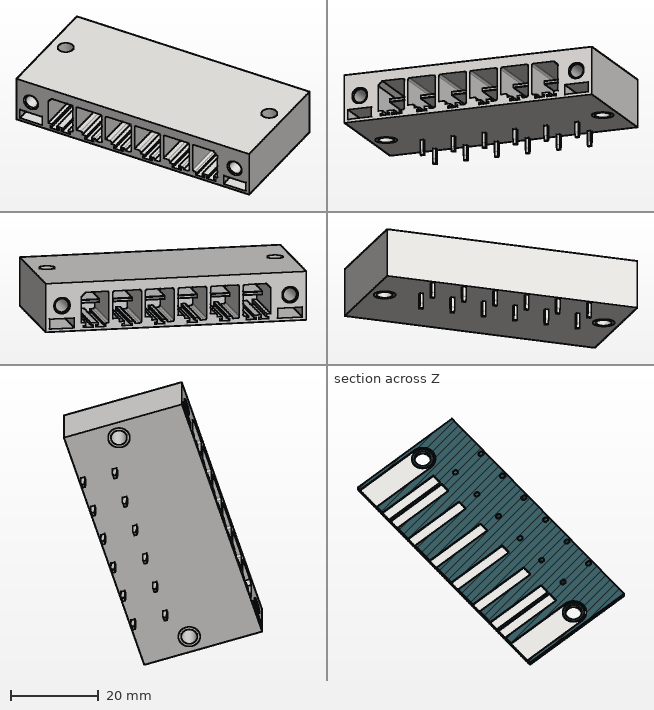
import cadquery as cq

HOUSING_WIDTH = 60.95
HOUSING_DEPTH = 28.3
HOUSING_HEIGHT = 11.4

PITCH = 7.6
CONTACT_COUNT = 6
FIRST_CONTACT_X = -PITCH * (CONTACT_COUNT - 1) / 2
CONTACT_XS = [FIRST_CONTACT_X + i * PITCH for i in range(CONTACT_COUNT)]
MOUNT_X = CONTACT_XS[-1] + PITCH
MOUNT_XS = [-MOUNT_X, MOUNT_X]
MOUNT_Y = 16.3

POCKET_DEPTH = 15.25
POCKET_HALF_WIDTH = 3.35
POCKET_TOP = 8.95
POCKET_TOP_RADIUS = 0.5
POCKET_STEP_RADIUS = 0.5
LEDGE_Z = 1.7

HIGH_STEP_X = -1.75
LOW_STEP_X = 1.9
HIGH_FLOOR_Z = 2.5
LOW_FLOOR_Z = 1.15

END_OUTER_X = -3.1
END_CORNER_CUT = 1.05
END_OUTER_FLOOR_Z = 1.9
END_INNER_FLOOR_Z = 1.5
END_KEYWAY_X = 1.45

KEYWAY_NECK_WIDTH = 1.3
KEYWAY_FOOT_WIDTH = 2.3
KEYWAY_BOTTOM = 0.75
KEYWAY_FOOT_HEIGHT = 0.4

BORE_Z = 6.1
BORE_DIAMETER = 3.2
BORE_COUNTERSINK = 0.3

SLOT_WIDTH = 5.8
SLOT_BOTTOM = KEYWAY_BOTTOM
SLOT_HEIGHT = 2.3

SCREW_HOLE_DIAMETER = 3.65
SLEEVE_DIAMETER = 5.0
SLEEVE_HEIGHT = 7.9

BLADE_WIDTH = 4.4
BLADE_THICKNESS = 0.8
BLADE_TOP = 6.1
BLADE_TIP_Y = 4.9
BLADE_TIP_CHAMFER = 0.1
LEG_WIDTH = 0.8
LEG_DEPTH = 1.0
LEG_LENGTH = 3.5
LEG_TAPER_LENGTH = 1.15
LEG_TAPER_INSET = 0.2
REAR_LEG_Y = HOUSING_DEPTH - 1.05
LEG_YS = [REAR_LEG_Y - PITCH, REAR_LEG_Y]


def box(x_min, x_max, y_min, y_max, z_min, z_max):
    """Box between the given limits."""
    size = (x_max - x_min, y_max - y_min, z_max - z_min)
    return cq.Workplane("XY").box(*size, centered=False).translate((x_min, y_min, z_min))


def prism_from_front(outline):
    """Outline of (x, z) points carried from the front face to the pocket depth."""
    return cq.Workplane("XZ").polyline(outline).close().extrude(-POCKET_DEPTH)


def round_corner(prism, corner, radius):
    """Round the lengthwise edge that starts at an (x, z) corner of the outline."""
    x, z = corner
    middle = (x, POCKET_DEPTH / 2, z)
    return prism.edges(cq.NearestToPointSelector(middle)).fillet(radius)


def keyway(center_x):
    """T-shaped groove: a neck down from the ledge and a wider foot."""
    neck = KEYWAY_NECK_WIDTH / 2
    foot = KEYWAY_FOOT_WIDTH / 2
    foot_top = KEYWAY_BOTTOM + KEYWAY_FOOT_HEIGHT
    neck_top = HIGH_FLOOR_Z
    neck_box = box(center_x - neck, center_x + neck, 0, POCKET_DEPTH, KEYWAY_BOTTOM, neck_top)
    foot_box = box(center_x - foot, center_x + foot, 0, POCKET_DEPTH, KEYWAY_BOTTOM, foot_top)
    return neck_box.union(foot_box)


def middle_pocket():
    """Pocket with a high floor on the left, a ledge in the middle and a low floor on the right."""
    top_left = (-POCKET_HALF_WIDTH, POCKET_TOP)
    top_right = (POCKET_HALF_WIDTH, POCKET_TOP)
    low_right = (POCKET_HALF_WIDTH, LOW_FLOOR_Z)
    low_step = (LOW_STEP_X, LEDGE_Z)
    high_step = (HIGH_STEP_X, HIGH_FLOOR_Z)
    pocket = prism_from_front([
        top_left,
        top_right,
        low_right,
        (LOW_STEP_X, LOW_FLOOR_Z),
        low_step,
        (HIGH_STEP_X, LEDGE_Z),
        high_step,
        (-POCKET_HALF_WIDTH, HIGH_FLOOR_Z),
    ])
    for corner in (top_left, top_right):
        pocket = round_corner(pocket, corner, POCKET_TOP_RADIUS)
    for corner in (low_right, low_step, high_step):
        pocket = round_corner(pocket, corner, POCKET_STEP_RADIUS)
    return pocket.union(keyway(0))


def left_end_pocket():
    """Pocket with a cut outer top corner and two keyways; the right end pocket is its mirror."""
    top_right = (POCKET_HALF_WIDTH, POCKET_TOP)
    low_right = (POCKET_HALF_WIDTH, END_INNER_FLOOR_Z)
    pocket = prism_from_front([
        (END_OUTER_X + END_CORNER_CUT, POCKET_TOP),
        top_right,
        low_right,
        (END_KEYWAY_X, END_INNER_FLOOR_Z),
        (END_KEYWAY_X, LEDGE_Z),
        (-END_KEYWAY_X, LEDGE_Z),
        (-END_KEYWAY_X, END_OUTER_FLOOR_Z),
        (END_OUTER_X, END_OUTER_FLOOR_Z),
        (END_OUTER_X, POCKET_TOP - END_CORNER_CUT),
    ])
    pocket = round_corner(pocket, top_right, POCKET_TOP_RADIUS)
    pocket = round_corner(pocket, low_right, POCKET_STEP_RADIUS)
    return pocket.union(keyway(-END_KEYWAY_X)).union(keyway(END_KEYWAY_X))


def pockets():
    """The six pockets at their contact positions."""
    left_end = left_end_pocket()
    shapes = [left_end, *[middle_pocket()] * (CONTACT_COUNT - 2), left_end.mirror("YZ")]
    return [shape.translate((x, 0, 0)) for shape, x in zip(shapes, CONTACT_XS)]


def front_bore(x):
    """Countersunk bore from the front face to the mounting sleeve."""
    mouth = cq.Workplane("XZ").center(x, BORE_Z)
    bore = mouth.circle(BORE_DIAMETER / 2).extrude(-MOUNT_Y)
    cone = cq.Solid.makeCone(
        BORE_DIAMETER / 2 + BORE_COUNTERSINK,
        BORE_DIAMETER / 2,
        BORE_COUNTERSINK,
        pnt=cq.Vector(x, 0, BORE_Z),
        dir=cq.Vector(0, 1, 0),
    )
    return bore.union(cq.Workplane(cone))


def latch_slot(x):
    """Flat slot with a round inner end centred on the mounting axis."""
    half = SLOT_WIDTH / 2
    straight = box(x - half, x + half, 0, MOUNT_Y, SLOT_BOTTOM, SLOT_BOTTOM + SLOT_HEIGHT)
    end = cq.Workplane("XY", origin=(x, MOUNT_Y, SLOT_BOTTOM)).circle(half).extrude(SLOT_HEIGHT)
    return straight.union(end)


def upright_cylinder(x, diameter, height):
    """Cylinder on a mounting axis, standing on the underside plane."""
    return cq.Workplane("XY", origin=(x, MOUNT_Y, 0)).circle(diameter / 2).extrude(height)


def make_housing(contacts):
    """Block with pockets, bores and slots, and seats for the sleeves and contacts."""
    half = HOUSING_WIDTH / 2
    housing = box(-half, half, 0, HOUSING_DEPTH, 0, HOUSING_HEIGHT)
    for pocket in pockets():
        housing = housing.cut(pocket)
    for x in MOUNT_XS:
        housing = housing.cut(front_bore(x))
        housing = housing.cut(latch_slot(x))
        housing = housing.cut(upright_cylinder(x, SLEEVE_DIAMETER, SLEEVE_HEIGHT))
        housing = housing.cut(upright_cylinder(x, SCREW_HOLE_DIAMETER, HOUSING_HEIGHT))
    for contact in contacts:
        housing = housing.cut(contact)
    return housing


def make_sleeve(x):
    """Plain tube around a mounting screw hole."""
    tube = upright_cylinder(x, SLEEVE_DIAMETER, SLEEVE_HEIGHT)
    return tube.cut(upright_cylinder(x, SCREW_HOLE_DIAMETER, SLEEVE_HEIGHT))


def solder_leg(x, y):
    """Rectangular leg whose front and rear faces taper towards the tip."""
    half = LEG_DEPTH / 2
    tip_half = half - LEG_TAPER_INSET
    taper_z = LEG_TAPER_LENGTH - LEG_LENGTH
    outline = [
        (y - half, BLADE_TOP),
        (y + half, BLADE_TOP),
        (y + half, taper_z),
        (y + tip_half, -LEG_LENGTH),
        (y - tip_half, -LEG_LENGTH),
        (y - half, taper_z),
    ]
    plane = cq.Workplane("YZ", origin=(x, 0, 0))
    return plane.polyline(outline).close().extrude(LEG_WIDTH / 2, both=True)


def make_contact(x):
    """Blade reaching forward into its pocket, on two legs through the underside."""
    half = BLADE_WIDTH / 2
    rear = REAR_LEG_Y + LEG_DEPTH / 2
    contact = box(x - half, x + half, BLADE_TIP_Y, rear, BLADE_TOP - BLADE_THICKNESS, BLADE_TOP)
    contact = contact.faces("<Y").edges("|X").chamfer(BLADE_TIP_CHAMFER)
    for y in LEG_YS:
        contact = contact.union(solder_leg(x, y))
    return contact


contacts = [make_contact(x) for x in CONTACT_XS]
sleeves = [make_sleeve(x) for x in MOUNT_XS]
housing = make_housing(contacts)

result = cq.Compound.makeCompound(
    [housing.val(), *[sleeve.val() for sleeve in sleeves], *[contact.val() for contact in contacts]]
)